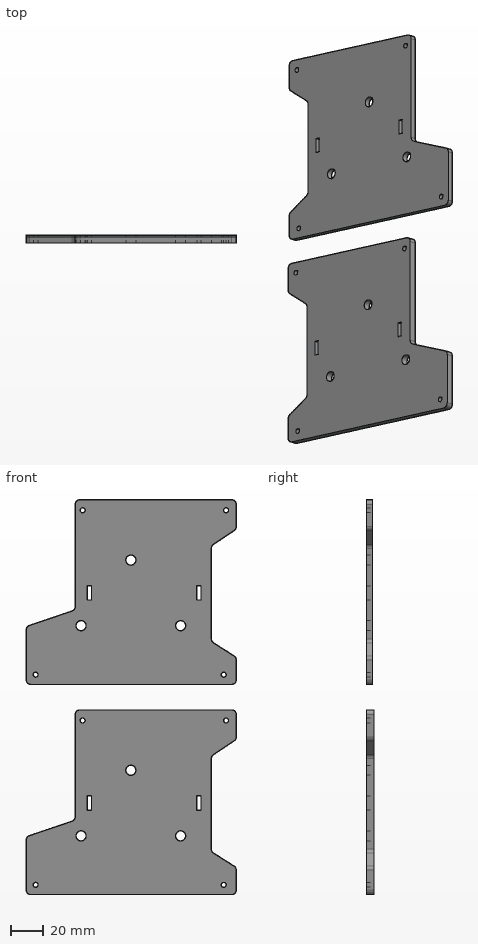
import cadquery as cq

plate_width = 130.0
plate_height = 114.5
corner_radius = 3.0
step_x = 30.3
foot_outer_z = 36.0
foot_inner_z = 46.2
waist_x = 114.7
lower_ear_outer_z = 16.9
lower_ear_inner_z = 26.7
upper_ear_inner_z = 85.8
upper_ear_outer_z = 96.0

lower_thickness = 5.0
upper_thickness = 4.0
overall_height = 244.5
upper_plate_z = overall_height - plate_height

screw_hole_diameter = 3.0
lower_screw_z = 6.0
upper_screw_z = 107.9
screw_hole_centers = [
    (5.9, lower_screw_z),
    (122.3, lower_screw_z),
    (35.0, upper_screw_z),
    (123.8, upper_screw_z),
]

large_hole_diameter = 6.0
large_hole_center_x = 64.8
large_hole_spacing = 61.6
large_hole_pair_z = 36.5
large_hole_top_z = 77.0
large_hole_centers = [
    (large_hole_center_x - large_hole_spacing / 2, large_hole_pair_z),
    (large_hole_center_x + large_hole_spacing / 2, large_hole_pair_z),
    (large_hole_center_x, large_hole_top_z),
]

slot_width = 2.5
slot_length = 8.8
slot_z = 56.7
slot_centers = [(39.1, slot_z), (107.0, slot_z)]


def make_blank(thickness):
    """Plate with rounded corners, front face on Y = 0, extending toward +Y."""
    outline = [
        (0, 0),
        (plate_width, 0),
        (plate_width, lower_ear_outer_z),
        (waist_x, lower_ear_inner_z),
        (waist_x, upper_ear_inner_z),
        (plate_width, upper_ear_outer_z),
        (plate_width, plate_height),
        (step_x, plate_height),
        (step_x, foot_inner_z),
        (0, foot_outer_z),
    ]
    blank = cq.Workplane("XZ").polyline(outline).close().extrude(-thickness)
    return blank.edges("|Y").fillet(corner_radius)


def make_openings(thickness):
    """Cutting shapes for the round holes and slots, through the full thickness."""
    profiles = (
        cq.Workplane("XZ")
        .pushPoints(screw_hole_centers)
        .circle(screw_hole_diameter / 2)
        .pushPoints(large_hole_centers)
        .circle(large_hole_diameter / 2)
        .pushPoints(slot_centers)
        .rect(slot_width, slot_length)
    )
    return profiles.extrude(-thickness)


def make_plate(thickness):
    return make_blank(thickness).cut(make_openings(thickness))


lower_plate = make_plate(lower_thickness)
upper_plate = make_plate(upper_thickness).translate((0, 0, upper_plate_z))

result = cq.Compound.makeCompound([lower_plate.val(), upper_plate.val()])